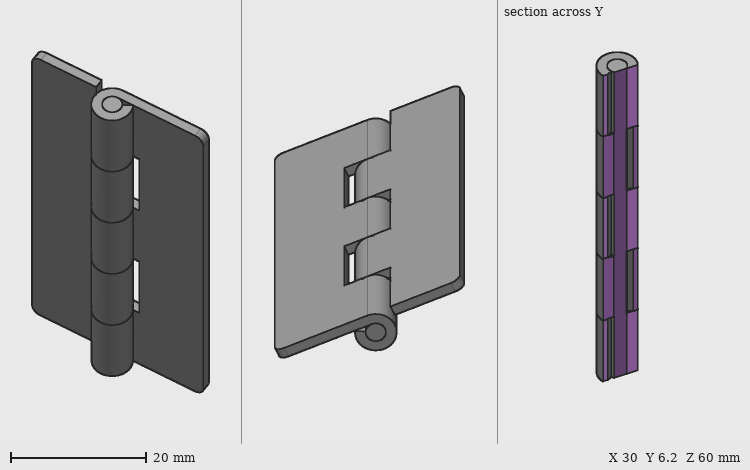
import cadquery as cq
import math

height = 60.0
width = 30.0
half_width = width / 2

knuckle_diameter = 6.2
pin_diameter = 3.0
knuckle_radius = knuckle_diameter / 2
pin_radius = pin_diameter / 2
sheet_thickness = knuckle_radius - pin_radius
curl_end_angle = math.radians(28.0)
corner_radius = 1.5

knuckle_count = 5
knuckle_height = height / knuckle_count
notch_clearance = 0.65
plate_inner_edge = knuckle_radius + notch_clearance


def make_plate():
    """Flat plate on the +X side, with its two outer corners rounded."""
    plate_width = half_width - plate_inner_edge
    return (
        cq.Workplane("XY")
        .box(plate_width, sheet_thickness, height, centered=False)
        .translate((plate_inner_edge, pin_radius, 0))
        .edges("|Y and >X")
        .fillet(corner_radius)
    )


def make_knuckle(index):
    """Strip of sheet from the plate, curled around the pin and cut off radially."""
    end_x = math.cos(curl_end_angle)
    end_y = math.sin(curl_end_angle)
    return (
        cq.Workplane("XY", origin=(0, 0, index * knuckle_height))
        .moveTo(plate_inner_edge, knuckle_radius)
        .lineTo(0, knuckle_radius)
        .threePointArc((0, -knuckle_radius), (knuckle_radius * end_x, knuckle_radius * end_y))
        .lineTo(pin_radius * end_x, pin_radius * end_y)
        .threePointArc((0, -pin_radius), (0, pin_radius))
        .lineTo(plate_inner_edge, pin_radius)
        .close()
        .extrude(knuckle_height)
    )


def make_leaf(first_knuckle):
    """Leaf on the +X side, with every second knuckle starting from first_knuckle."""
    leaf = make_plate()
    for index in range(first_knuckle, knuckle_count, 2):
        leaf = leaf.union(make_knuckle(index))
    return leaf


def make_pin():
    """Plain pin through all the knuckles, flush with both ends."""
    return cq.Workplane("XY").circle(pin_radius).extrude(height)


right_leaf = make_leaf(first_knuckle=0)
left_leaf = make_leaf(first_knuckle=1).mirror("YZ")
pin = make_pin()

result = cq.Compound.makeCompound([right_leaf.val(), left_leaf.val(), pin.val()])